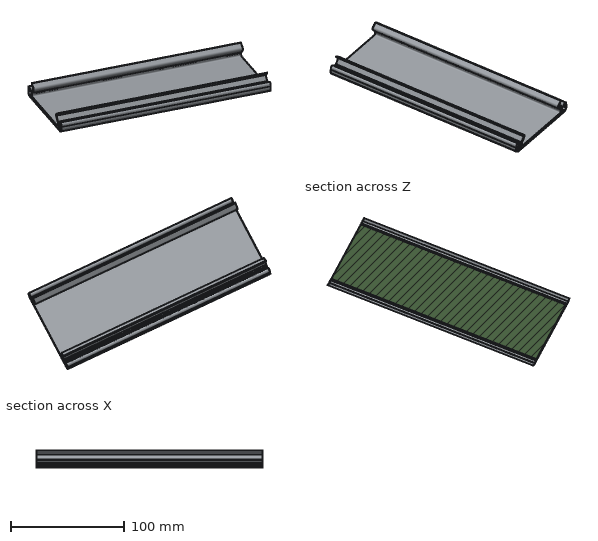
import cadquery as cq
import math

LENGTH = 200.0
WIDTH = 78.5
HEIGHT = 15.5
HALF_WIDTH = WIDTH / 2

FLOOR_THICKNESS = 2.5
WALL_OUTER_X = 30.8
WALL_INNER_X = 29.5
FLOOR_FILLET = 1.2

ARM_FOOT_OUTER_Z = 7.5
ARM_FOOT_INNER_Z = 6.2
FOLD_OUTER_X = 27.2
FOLD_INNER_X = 24.5
FOLD_Z = 11.5
FOLD_FILLET = 2.2
LIP_TIP_X = 31.0
LIP_TOP_X = 30.0

CURL_THICKNESS = 0.8
CURL_RADIUS = 4.2
CURL_CENTER_X = HALF_WIDTH - CURL_RADIUS
BEAD_RADIUS = 2.2
BEAD_X = 36.5
BEAD_Z = 7.2

TOOTH_COUNT = 4
TOOTH_PITCH = 1.5
TOOTH_TIP_X = 32.2
FIRST_TOOTH_Z = 2.5

RIB_X = 34.0
RIB_TOP_Z = 2.0
RIB_TOP_WIDTH = 2.5
RIB_FOOT_WIDTH = 1.5


def profile():
    """Start a sketch in the XZ plane whose extrusion runs the full length."""
    return cq.Workplane("XZ", origin=(0, LENGTH / 2, 0))


def make_floor():
    return (
        profile()
        .rect(2 * WALL_OUTER_X, FLOOR_THICKNESS)
        .extrude(LENGTH)
        .translate((0, 0, FLOOR_THICKNESS / 2))
    )


def make_clip_arm():
    arm = (
        profile()
        .moveTo(WALL_OUTER_X, 0)
        .lineTo(WALL_OUTER_X, ARM_FOOT_OUTER_Z)
        .lineTo(FOLD_OUTER_X, FOLD_Z)
        .lineTo(LIP_TIP_X, HEIGHT)
        .lineTo(LIP_TOP_X, HEIGHT)
        .lineTo(FOLD_INNER_X, FOLD_Z)
        .lineTo(WALL_INNER_X, ARM_FOOT_INNER_Z)
        .lineTo(WALL_INNER_X, 0)
        .close()
        .extrude(LENGTH)
    )
    fold_edge = cq.selectors.NearestToPointSelector((FOLD_INNER_X, 0, FOLD_Z))
    return arm.edges(fold_edge).fillet(FOLD_FILLET)


def make_curl():
    inner_radius = CURL_RADIUS - CURL_THICKNESS
    diagonal = math.sqrt(0.5)
    bead_left = BEAD_X + BEAD_RADIUS
    strip = (
        profile()
        .moveTo(WALL_INNER_X, 0)
        .lineTo(CURL_CENTER_X, 0)
        .threePointArc(
            (CURL_CENTER_X + CURL_RADIUS * diagonal, CURL_RADIUS * (1 - diagonal)),
            (HALF_WIDTH, CURL_RADIUS),
        )
        .lineTo(bead_left, BEAD_Z)
        .lineTo(bead_left - CURL_THICKNESS, BEAD_Z)
        .lineTo(HALF_WIDTH - CURL_THICKNESS, CURL_RADIUS)
        .threePointArc(
            (CURL_CENTER_X + inner_radius * diagonal, CURL_RADIUS - inner_radius * diagonal),
            (CURL_CENTER_X, CURL_THICKNESS),
        )
        .lineTo(WALL_INNER_X, CURL_THICKNESS)
        .close()
        .extrude(LENGTH)
    )
    bead = profile().center(BEAD_X, BEAD_Z).circle(BEAD_RADIUS).extrude(LENGTH)
    return strip.union(bead)


def make_tooth(tip_z):
    return (
        profile()
        .moveTo(TOOTH_TIP_X, tip_z)
        .lineTo(WALL_OUTER_X, tip_z + TOOTH_PITCH / 2)
        .lineTo(WALL_INNER_X, tip_z)
        .lineTo(WALL_OUTER_X, tip_z - TOOTH_PITCH / 2)
        .close()
        .extrude(LENGTH)
    )


def make_rib():
    return (
        profile()
        .moveTo(RIB_X - RIB_FOOT_WIDTH / 2, 0)
        .lineTo(RIB_X + RIB_FOOT_WIDTH / 2, 0)
        .lineTo(RIB_X + RIB_TOP_WIDTH / 2, RIB_TOP_Z)
        .lineTo(RIB_X - RIB_TOP_WIDTH / 2, RIB_TOP_Z)
        .close()
        .extrude(LENGTH)
    )


def make_floor_fillet():
    """Concave fill where the floor meets the inner face of the clip wall."""
    center_x = WALL_INNER_X - FLOOR_FILLET
    center_z = FLOOR_THICKNESS + FLOOR_FILLET
    reach = FLOOR_FILLET * math.sqrt(0.5)
    return (
        profile()
        .moveTo(WALL_INNER_X, center_z)
        .threePointArc((center_x + reach, center_z - reach), (center_x, FLOOR_THICKNESS))
        .lineTo(center_x, FLOOR_THICKNESS / 2)
        .lineTo(WALL_OUTER_X, FLOOR_THICKNESS / 2)
        .lineTo(WALL_OUTER_X, center_z)
        .close()
        .extrude(LENGTH)
    )


side = make_clip_arm().union(make_curl()).union(make_rib()).union(make_floor_fillet())
for index in range(TOOTH_COUNT):
    side = side.union(make_tooth(FIRST_TOOTH_Z + index * TOOTH_PITCH))

result = make_floor().union(side).union(side.mirror("YZ")).clean()